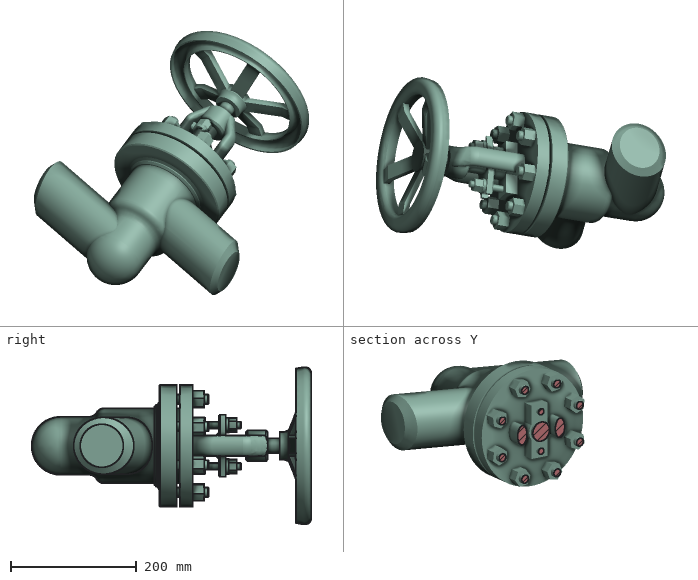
import cadquery as cq
import math

LENGTH = 444.5

BODY_RADIUS = 59.8
BODY_BOTTOM = 115.5
NECK_RADIUS = 46.2
NECK_TOP = 91.5
COLLAR_RADIUS = 65.0
COLLAR_BOTTOM = 195.0
COLLAR_CHAMFER = 3.0
COLLAR_FLARE_RADIUS = 69.5
COLLAR_FLARE_BOTTOM = 200.0

PIPE_RADIUS = 45.1
PIPE_SLOPE = 0.3
PIPE_END_X = 170.0
PIPE_END_Y = 111.5
PIPE_FACE_RADIUS = 34.2
PIPE_LAND_RADIUS = 38.2
PIPE_LAND_DEPTH = 3.0
WELD_ANGLE = 37.5

FLANGE_RADIUS = 97.0
FLANGE_CHAMFER = 2.0
LOWER_FLANGE_BOTTOM = 202.5
LOWER_FLANGE_TOP = 230.5
UPPER_FLANGE_BOTTOM = 235.5
UPPER_FLANGE_TOP = 256.0

STUD_COUNT = 8
STUD_CIRCLE_RADIUS = 80.0
STUD_DIAMETER = 15.5
STUD_TOP = 281.5
NUT_CORNER_DIAMETER = 29.5
NUT_HEIGHT = 18.2
STUD_CHAMFER = 1.5

BOX_WIDTH = 30.5
BOX_LENGTH = 89.0
BOX_RADIUS = 19.5
BOX_TOP = 276.0
GLAND_STUD_OFFSET = 33.0
GLAND_STUD_DIAMETER = 11.0
GLAND_STUD_TOP = 333.0
GLAND_NUT_CORNER_DIAMETER = 22.5
GLAND_NUT_HEIGHT = 13.5
GLAND_WASHER_DIAMETER = 24.0
GLAND_WASHER_HEIGHT = 4.5
GLAND_BOTTOM = 297.0
GLAND_TOP = 308.5
GLAND_WIDTH = 46.0
GLAND_LENGTH = 99.0
GLAND_END_WIDTH = 23.5
GLAND_CHAMFER = 2.5
GLAND_SLOT_WIDTH = 14.0
GLAND_NECK_RADIUS = 16.22
GLAND_CONE_HEIGHT = 4.0

YOKE_RADIUS = 25.0
YOKE_BOTTOM = 340.5
YOKE_TOP = 375.0
YOKE_CHAMFER = 3.0
ARM_CENTRE = 36.0
ARM_THICKNESS = 18.5
ARM_DEPTH = 33.0
ARM_LEAN = 32.5
ARM_BEND_BOTTOM = 336.0
ARM_BEND_RADIUS = 14.5
ARM_HEAD_CENTRE = 17.0

SPINDLE_RADIUS = 12.22
HUB_BOTTOM = 394.0
HUB_RADIUS = 22.2
HUB_FLARE_BOTTOM = 400.0
HUB_FLARE_RADIUS = 25.0
HUB_FLARE_TOP = 408.0
HUB_TOP = 422.3
WHEEL_RADIUS = 125.0
WHEEL_BULGE_Y = 431.5
WHEEL_BOTTOM = 419.5
WHEEL_EDGE_RADIUS = 122.5
WHEEL_TOP_RADIUS = 115.0
WHEEL_INNER_RADIUS = 97.0
WHEEL_INNER_TOP = 438.0
WHEEL_WALL = 2.5
GROOVE_FLOOR_Y = 439.5
GROOVE_FLOOR_OUTER = 113.5
GROOVE_FLOOR_INNER = 106.5
LIP_SHOULDER_RADIUS = 100.5
LIP_SHOULDER_Y = 429.5
LIP_RADIUS = 98.5
LIP_BOTTOM = 422.3
SPOKE_COUNT = 5
SPOKE_WIDTH = 24.0
SPOKE_DEPTH = 10.0
SPOKE_ROOT_RADIUS = 15.5
SPOKE_ROOT_Y = 406.3
SPOKE_BEND_RADIUS = 79.0
SPOKE_BEND_Y = 430.0


def spin(profile):
    """Revolve a closed radius/height outline about the spindle axis."""
    return profile.close().revolve(360, (0, 0), (0, 1))


def level(y):
    """Plane across the spindle at height y; local x is X and local y is Z."""
    return cq.Workplane(cq.Plane((0, y, 0), xDir=(1, 0, 0), normal=(0, -1, 0)))


def disc(radius, bottom, top):
    return level(top).circle(radius).extrude(top - bottom)


def make_body():
    mid_y = (NECK_TOP + BODY_BOTTOM) / 2
    mid_radius = (NECK_RADIUS + BODY_RADIUS) / 2
    round_x = NECK_RADIUS * math.sin(math.radians(45))
    body = spin(
        cq.Workplane("XY")
        .moveTo(0, 0)
        .threePointArc((round_x, NECK_RADIUS - round_x), (NECK_RADIUS, NECK_RADIUS))
        .lineTo(NECK_RADIUS, NECK_TOP)
        .tangentArcPoint((mid_radius, mid_y), relative=False)
        .tangentArcPoint((BODY_RADIUS, BODY_BOTTOM), relative=False)
        .lineTo(BODY_RADIUS, LOWER_FLANGE_BOTTOM)
        .lineTo(0, LOWER_FLANGE_BOTTOM)
    )
    collar = spin(
        cq.Workplane("XY")
        .moveTo(0, COLLAR_BOTTOM)
        .lineTo(COLLAR_RADIUS - COLLAR_CHAMFER, COLLAR_BOTTOM)
        .lineTo(COLLAR_RADIUS, COLLAR_BOTTOM + COLLAR_CHAMFER)
        .lineTo(COLLAR_RADIUS, COLLAR_FLARE_BOTTOM)
        .lineTo(COLLAR_FLARE_RADIUS, LOWER_FLANGE_BOTTOM)
        .lineTo(0, LOWER_FLANGE_BOTTOM)
    )
    return body.union(collar)


def make_pipe():
    """Left stub: an inclined cylinder trimmed by a weld bevel about a line parallel to X."""
    overrun = PIPE_RADIUS
    axis = cq.Vector(1, -PIPE_SLOPE, 0)
    start = cq.Vector(-PIPE_END_X - overrun, PIPE_END_Y + PIPE_SLOPE * overrun, 0)
    run = (PIPE_END_X + overrun) * axis.Length
    pipe = cq.Workplane(cq.Plane(start, xDir=(0, 0, 1), normal=axis)).circle(PIPE_RADIUS).extrude(run)
    envelope_radius = 2 * PIPE_RADIUS
    bevel_depth = (envelope_radius - PIPE_LAND_RADIUS) * math.tan(math.radians(WELD_ANGLE))
    envelope = (
        cq.Workplane("XY")
        .moveTo(-PIPE_END_X, PIPE_END_Y)
        .lineTo(-PIPE_END_X, PIPE_END_Y + PIPE_FACE_RADIUS)
        .lineTo(-PIPE_END_X + PIPE_LAND_DEPTH, PIPE_END_Y + PIPE_LAND_RADIUS)
        .lineTo(-PIPE_END_X + PIPE_LAND_DEPTH + bevel_depth, PIPE_END_Y + envelope_radius)
        .lineTo(PIPE_END_X, PIPE_END_Y + envelope_radius)
        .lineTo(PIPE_END_X, PIPE_END_Y)
        .close()
        .revolve(360, (0, PIPE_END_Y), (1, PIPE_END_Y))
    )
    return pipe.intersect(envelope)


def make_flanges():
    lower = disc(FLANGE_RADIUS, LOWER_FLANGE_BOTTOM, LOWER_FLANGE_TOP).faces("<Y").chamfer(FLANGE_CHAMFER)
    upper = disc(FLANGE_RADIUS, UPPER_FLANGE_BOTTOM, UPPER_FLANGE_TOP)
    gasket = disc(BODY_RADIUS, LOWER_FLANGE_TOP, UPPER_FLANGE_BOTTOM)
    return lower.union(gasket).union(upper)


def make_stud():
    """Stud on the X side of the stud circle, its nut turned with a corner pointing outward."""
    shank_bottom = (LOWER_FLANGE_BOTTOM + LOWER_FLANGE_TOP) / 2
    shank = disc(STUD_DIAMETER / 2, shank_bottom, STUD_TOP).faces(">Y").chamfer(STUD_CHAMFER)
    nut = level(UPPER_FLANGE_TOP + NUT_HEIGHT).polygon(6, NUT_CORNER_DIAMETER).extrude(NUT_HEIGHT)
    return shank.union(nut).translate((STUD_CIRCLE_RADIUS, 0, 0))


def make_gland():
    height = GLAND_TOP - GLAND_BOTTOM
    half_length = GLAND_LENGTH / 2
    plate = (
        level(GLAND_TOP)
        .polyline([
            (-GLAND_WIDTH / 2, 0),
            (-GLAND_END_WIDTH / 2, half_length),
            (GLAND_END_WIDTH / 2, half_length),
            (GLAND_WIDTH / 2, 0),
            (GLAND_END_WIDTH / 2, -half_length),
            (-GLAND_END_WIDTH / 2, -half_length),
        ])
        .close()
        .extrude(height)
        .faces("<Y")
        .chamfer(GLAND_CHAMFER)
    )
    slots = (
        level(GLAND_TOP)
        .pushPoints([(0, half_length), (0, -half_length)])
        .slot2D(2 * (half_length - GLAND_STUD_OFFSET) + GLAND_SLOT_WIDTH, GLAND_SLOT_WIDTH, 90)
        .extrude(height)
    )
    neck = spin(
        cq.Workplane("XY")
        .moveTo(0, BOX_TOP)
        .lineTo(GLAND_NECK_RADIUS, BOX_TOP)
        .lineTo(GLAND_NECK_RADIUS, GLAND_BOTTOM - GLAND_CONE_HEIGHT)
        .lineTo(GLAND_WIDTH / 2 - GLAND_CHAMFER, GLAND_BOTTOM)
        .lineTo(0, GLAND_BOTTOM)
    )
    return plate.cut(slots).union(neck)


def make_gland_stud(z):
    washer_top = GLAND_TOP + GLAND_WASHER_HEIGHT
    shank = disc(GLAND_STUD_DIAMETER / 2, UPPER_FLANGE_TOP, GLAND_STUD_TOP).faces(">Y").chamfer(STUD_CHAMFER)
    washer = disc(GLAND_WASHER_DIAMETER / 2, GLAND_TOP, washer_top)
    nut = (
        level(washer_top + GLAND_NUT_HEIGHT)
        .transformed(rotate=(0, 0, 90))
        .polygon(6, GLAND_NUT_CORNER_DIAMETER)
        .extrude(GLAND_NUT_HEIGHT)
    )
    return shank.union(washer).union(nut).translate((0, 0, z))


def make_stuffing_box():
    height = BOX_TOP - UPPER_FLANGE_TOP
    lugs = level(BOX_TOP).rect(BOX_WIDTH, BOX_LENGTH).extrude(height)
    return lugs.union(disc(BOX_RADIUS, UPPER_FLANGE_TOP, BOX_TOP))


def make_yoke_boss():
    return disc(YOKE_RADIUS, YOKE_BOTTOM, YOKE_TOP).faces("<Y or >Y").chamfer(YOKE_CHAMFER)


def make_yoke_arm():
    """Right arm: an oval bar that rises from the flange and leans into the boss."""
    lean = math.radians(ARM_LEAN)
    bend_end_x = ARM_CENTRE - ARM_BEND_RADIUS * (1 - math.cos(lean))
    bend_end_y = ARM_BEND_BOTTOM + ARM_BEND_RADIUS * math.sin(lean)
    head_y = bend_end_y + (bend_end_x - ARM_HEAD_CENTRE) / math.tan(lean)
    path = (
        cq.Workplane("XY")
        .moveTo(ARM_CENTRE, UPPER_FLANGE_TOP)
        .lineTo(ARM_CENTRE, ARM_BEND_BOTTOM)
        .tangentArcPoint((bend_end_x, bend_end_y), relative=False)
        .lineTo(ARM_HEAD_CENTRE, head_y)
    )
    section = level(UPPER_FLANGE_TOP).center(ARM_CENTRE, 0).ellipse(ARM_THICKNESS / 2, ARM_DEPTH / 2)
    return section.sweep(path)


def make_handwheel():
    rim = spin(
        cq.Workplane("XY")
        .moveTo(WHEEL_EDGE_RADIUS, WHEEL_BOTTOM)
        .lineTo(WHEEL_RADIUS, WHEEL_BULGE_Y)
        .tangentArcPoint((WHEEL_TOP_RADIUS, LENGTH), relative=False)
        .lineTo(GROOVE_FLOOR_INNER, LENGTH)
        .tangentArcPoint((WHEEL_INNER_RADIUS, WHEEL_INNER_TOP), relative=False)
        .lineTo(WHEEL_INNER_RADIUS, LIP_BOTTOM)
        .lineTo(LIP_RADIUS, LIP_BOTTOM)
        .lineTo(LIP_SHOULDER_RADIUS, LIP_SHOULDER_Y)
        .tangentArcPoint((GROOVE_FLOOR_INNER, GROOVE_FLOOR_Y), relative=False)
        .lineTo(GROOVE_FLOOR_OUTER, GROOVE_FLOOR_Y)
        .tangentArcPoint((WHEEL_RADIUS - WHEEL_WALL, WHEEL_BULGE_Y), relative=False)
        .lineTo(WHEEL_EDGE_RADIUS - WHEEL_WALL, WHEEL_BOTTOM)
    )
    hub = spin(
        cq.Workplane("XY")
        .moveTo(0, HUB_BOTTOM)
        .lineTo(HUB_RADIUS, HUB_BOTTOM)
        .lineTo(HUB_RADIUS, HUB_FLARE_BOTTOM)
        .tangentArcPoint((HUB_FLARE_RADIUS, HUB_FLARE_TOP), relative=False)
        .lineTo(HUB_FLARE_RADIUS, HUB_TOP)
        .lineTo(0, HUB_TOP)
    )
    spoke_end = WHEEL_INNER_RADIUS + WHEEL_WALL / 2
    spoke = (
        cq.Workplane("XY")
        .moveTo(SPOKE_ROOT_RADIUS, SPOKE_ROOT_Y)
        .lineTo(SPOKE_BEND_RADIUS, SPOKE_BEND_Y)
        .lineTo(spoke_end, SPOKE_BEND_Y)
        .lineTo(spoke_end, SPOKE_BEND_Y + SPOKE_DEPTH)
        .lineTo(SPOKE_BEND_RADIUS, SPOKE_BEND_Y + SPOKE_DEPTH)
        .lineTo(SPOKE_ROOT_RADIUS, SPOKE_ROOT_Y + SPOKE_DEPTH)
        .close()
        .extrude(SPOKE_WIDTH / 2, both=True)
    )
    wheel = rim.union(hub)
    for index in range(SPOKE_COUNT):
        angle = index * 360 / SPOKE_COUNT
        wheel = wheel.union(spoke.rotate((0, 0, 0), (0, 1, 0), angle))
    return wheel


left_pipe = make_pipe()
right_pipe = left_pipe.rotate((0, PIPE_END_Y, 0), (0, PIPE_END_Y, 1), 180)
result = make_body().union(left_pipe).union(right_pipe).union(make_flanges())

stud = make_stud()
for index in range(STUD_COUNT):
    angle = (index + 0.5) * 360 / STUD_COUNT
    result = result.union(stud.rotate((0, 0, 0), (0, 1, 0), angle))

result = result.union(make_stuffing_box()).union(make_gland())
for side in (-1, 1):
    result = result.union(make_gland_stud(side * GLAND_STUD_OFFSET))

spindle = disc(SPINDLE_RADIUS, GLAND_BOTTOM, HUB_BOTTOM)
right_arm = make_yoke_arm()
left_arm = right_arm.mirror("YZ")
result = result.union(spindle).union(make_yoke_boss()).union(right_arm).union(left_arm)
result = result.union(make_handwheel())